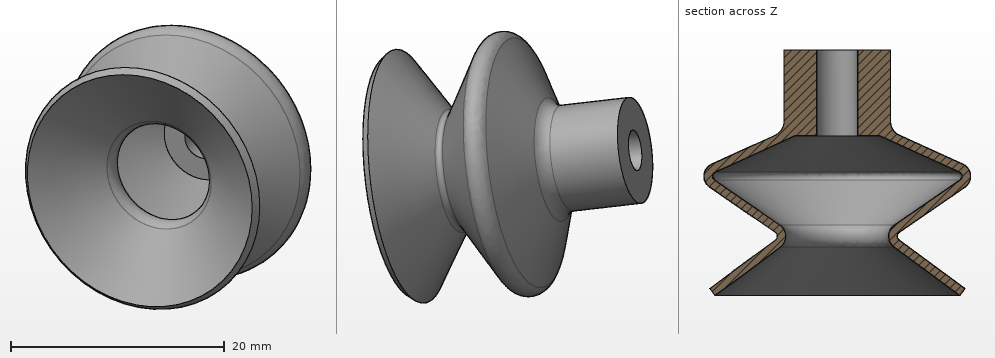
import cadquery as cq
import math

total_length = 23.0
stem_radius = 5.0
bore_radius = 1.9
floor_radius = 4.0
wall = 0.82

ridge_outer_radius = 12.5
ridge_round = 1.25
ridge_y = 11.18
ridge_center_radius = ridge_outer_radius - ridge_round

upper_tilt = math.radians(24.5)
lower_tilt = math.radians(34.5)
lip_tilt = math.radians(36.4)

mouth_radius = 11.48
neck_round = 0.45
stem_round = 1.4


def upper_cone_y(radius, ridge_rounding):
    """Height of the upper cone, tangent to the ridge circle of the given rounding."""
    rise = (ridge_center_radius - radius) * math.tan(upper_tilt)
    return ridge_y + rise + ridge_rounding / math.cos(upper_tilt)


def ridge_corner(ridge_rounding):
    """Sharp corner (radius, y) where the upper and lower cones meet."""
    gap = ridge_rounding / math.cos(upper_tilt) + ridge_rounding / math.cos(lower_tilt)
    radius = ridge_center_radius + gap / (math.tan(upper_tilt) + math.tan(lower_tilt))
    return radius, upper_cone_y(radius, ridge_rounding)


def neck_corner(ridge_point, lip_point):
    """Sharp corner (radius, y) where the lower cone meets the lip cone."""
    ridge_radius, ridge_height = ridge_point
    lip_radius, lip_height = lip_point
    lower_slope = math.tan(lower_tilt)
    lip_slope = math.tan(lip_tilt)
    height_at_axis = lip_height + lip_slope * lip_radius - ridge_height + lower_slope * ridge_radius
    radius = height_at_axis / (lower_slope + lip_slope)
    return radius, lip_height + lip_slope * (lip_radius - radius)


def revolve_profile(points):
    return cq.Workplane("XY").polyline(points).close().revolve(360, (0, 0), (0, 1))


def round_corner(body, corner, rounding):
    """Fillet the circular edge that passes through a profile corner."""
    radius, y = corner
    edge = cq.selectors.NearestToPointSelector((0, y, 0))
    circles = body.edges("%CIRCLE").filter(lambda e: math.isclose(e.radius(), radius, abs_tol=0.0002))
    return circles.edges(edge).fillet(rounding)


mouth = (mouth_radius, 0)
rim = (mouth_radius + wall * math.sin(lip_tilt), wall * math.cos(lip_tilt))
ridge = ridge_corner(ridge_round)
neck = neck_corner(ridge, rim)
stem_base = (stem_radius, upper_cone_y(stem_radius, ridge_round))
stem_end = (stem_radius, total_length)
body = revolve_profile([(0, 0), mouth, rim, neck, ridge, stem_base, stem_end, (0, total_length)])
body = round_corner(body, ridge, ridge_round)
body = round_corner(body, neck, neck_round)
body = round_corner(body, stem_base, stem_round)

cavity_ridge_round = ridge_round - wall
cavity_ridge = ridge_corner(cavity_ridge_round)
throat = neck_corner(cavity_ridge, mouth)
floor_y = upper_cone_y(floor_radius, cavity_ridge_round)
cavity = revolve_profile([(0, 0), mouth, throat, cavity_ridge, (floor_radius, floor_y), (0, floor_y)])
cavity = round_corner(cavity, cavity_ridge, cavity_ridge_round)
cavity = round_corner(cavity, throat, neck_round + wall)

bore = revolve_profile([(0, 0), (bore_radius, 0), (bore_radius, total_length), (0, total_length)])

result = body.cut(cavity).cut(bore)